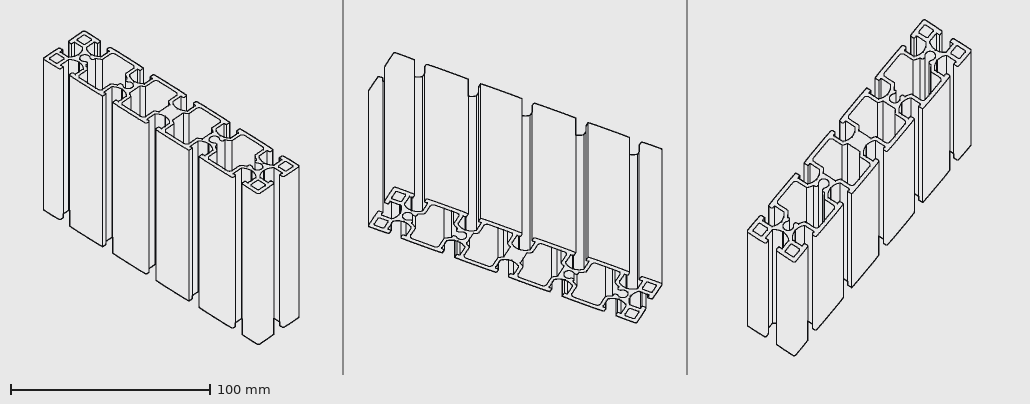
import cadquery as cq

PITCH = 30.0
MODULES = 5
WIDTH = MODULES * PITCH
DEPTH = PITCH
HEIGHT = WIDTH * 2 / 3
OUTER_RADIUS = 1.0

MOUTH_HALF = 3.2
WIDE_MOUTH_HALF = 3.5
TAPER_HALF = 8.2
TAPER_DROP = 0.2
LIP_DEPTH = 2.7
SLOT_HALF = 5.1
FLOOR_DEPTH = 10.6
FLOOR_RISE = 2.1
NOTCH_HALF = 0.3
NOTCH_DEPTH = 0.3
LIP_ROUND = 0.8

SKIN = 2.2
CHAMBER_OFFSET = 7.0
SHOULDER_Y = 5.4
CHAMBER_RADIUS = 1.8
NECK_FACE = 3.9
NECK_FACE_Y = 3.5
FLAT_FACE = 4.6
FLAT_FACE_Y = 3.9
SHOULDER_BULGE = 0.2

CHANNEL_RADIUS = 2.62
NECK_HALF = 1.6
NUB_ROUND = 0.82

POCKET_WALL = 2.2
POCKET_SIZE = 5.5
POCKET_RADIUS = 0.6


def fillet_vertical(body, points, radius):
    """Round the upright edges of body that pass through the given XY points."""
    for x, y in points:
        edge = cq.selectors.NearestToPointSelector((x, y, HEIGHT / 2))
        body = body.edges("|Z").edges(edge).fillet(radius)
    return body


def slot_cutter(mouth_half, rounded_outer=(), rounded_inner=()):
    """T-slot with its mouth on y = 0 and its floor toward -y.

    rounded_outer and rounded_inner list the sides (-1 or +1) whose lip corner is rounded.
    """
    wall_end = -(FLOOR_DEPTH - FLOOR_RISE)
    floor_radius = (SLOT_HALF**2 + FLOOR_RISE**2) / (2 * FLOOR_RISE)
    floor_centre = floor_radius - FLOOR_DEPTH

    def floor_y(x):
        return floor_centre - (floor_radius**2 - x**2) ** 0.5

    notch_bottom = -FLOOR_DEPTH - NOTCH_DEPTH
    middle = (SLOT_HALF + NOTCH_HALF) / 2
    cutter = (
        cq.Workplane("XY")
        .moveTo(-TAPER_HALF, 0)
        .lineTo(-mouth_half, -TAPER_DROP)
        .lineTo(-mouth_half, -LIP_DEPTH)
        .lineTo(-SLOT_HALF, -LIP_DEPTH)
        .lineTo(-SLOT_HALF, wall_end)
        .threePointArc((-middle, floor_y(middle)), (-NOTCH_HALF, floor_y(NOTCH_HALF)))
        .lineTo(0, notch_bottom)
        .lineTo(NOTCH_HALF, floor_y(NOTCH_HALF))
        .threePointArc((middle, floor_y(middle)), (SLOT_HALF, wall_end))
        .lineTo(SLOT_HALF, -LIP_DEPTH)
        .lineTo(mouth_half, -LIP_DEPTH)
        .lineTo(mouth_half, -TAPER_DROP)
        .lineTo(TAPER_HALF, 0)
        .close()
        .extrude(HEIGHT)
    )
    corners = [(side * mouth_half, -TAPER_DROP) for side in rounded_outer]
    corners += [(side * mouth_half, -LIP_DEPTH) for side in rounded_inner]
    return fillet_vertical(cutter, corners, LIP_ROUND)


def chamber_end(slot_x, toward, has_channel):
    """End of a chamber beside the slot at slot_x, reaching toward (-1 or +1) the chamber middle."""
    face, face_y = (NECK_FACE, NECK_FACE_Y) if has_channel else (FLAT_FACE, FLAT_FACE_Y)
    bulge = ((face + CHAMBER_OFFSET) / 2, (face_y + SHOULDER_Y) / 2 - SHOULDER_BULGE)
    end = (
        cq.Workplane("XY")
        .moveTo(face, -face_y)
        .lineTo(face, face_y)
        .threePointArc(bulge, (CHAMBER_OFFSET, SHOULDER_Y))
        .lineTo(PITCH / 2, SHOULDER_Y)
        .lineTo(PITCH / 2, -SHOULDER_Y)
        .lineTo(CHAMBER_OFFSET, -SHOULDER_Y)
        .threePointArc((bulge[0], -bulge[1]), (face, -face_y))
        .close()
        .extrude(HEIGHT)
    )
    if has_channel:
        neck = cq.Workplane("XY").center(face / 2, 0).rect(face, 2 * NECK_HALF).extrude(HEIGHT)
        channel = cq.Workplane("XY").circle(CHANNEL_RADIUS).extrude(HEIGHT)
        end = end.union(neck).union(channel)
        nub_root = (CHANNEL_RADIUS**2 - NECK_HALF**2) ** 0.5
        nub_corners = [(x, y) for x in (nub_root, face) for y in (-NECK_HALF, NECK_HALF)]
        end = fillet_vertical(end, nub_corners, NUB_ROUND)
    if toward < 0:
        end = end.mirror("YZ")
    return end.translate((slot_x, 0, 0))


def chamber_cutter(left_slot_x, left_channel, right_channel):
    """Hollow between the slot at left_slot_x and the next one."""
    right_slot_x = left_slot_x + PITCH
    room = (
        cq.Workplane("XY")
        .rect(PITCH - 2 * CHAMBER_OFFSET, DEPTH - 2 * SKIN)
        .extrude(HEIGHT)
        .edges("|Z")
        .fillet(CHAMBER_RADIUS)
        .translate((left_slot_x + PITCH / 2, 0, 0))
    )
    left_end = chamber_end(left_slot_x, 1, left_channel)
    right_end = chamber_end(right_slot_x, -1, right_channel)
    return room.union(left_end).union(right_end)


profile = cq.Workplane("XY").rect(WIDTH, DEPTH).extrude(HEIGHT).edges("|Z").fillet(OUTER_RADIUS)

outer_slot_x = (WIDTH - PITCH) / 2
both = (-1, 1)
long_slots = [
    (-outer_slot_x, slot_cutter(MOUTH_HALF, both, (1,))),
    (-PITCH, slot_cutter(WIDE_MOUTH_HALF)),
    (0, slot_cutter(MOUTH_HALF, both, both)),
    (PITCH, slot_cutter(WIDE_MOUTH_HALF)),
    (outer_slot_x, slot_cutter(MOUTH_HALF, both, (-1,))),
]
for slot_x, cutter in long_slots:
    back_slot = cutter.translate((slot_x, DEPTH / 2, 0))
    profile = profile.cut(back_slot).cut(back_slot.mirror("XZ"))

end_slot = slot_cutter(MOUTH_HALF, both).rotate((0, 0, 0), (0, 0, 1), -90).translate((WIDTH / 2, 0, 0))
profile = profile.cut(end_slot).cut(end_slot.mirror("YZ"))

outer_chamber = chamber_cutter(-outer_slot_x, True, True)
inner_chamber = chamber_cutter(-PITCH, False, False)
for chamber in (outer_chamber, inner_chamber):
    profile = profile.cut(chamber).cut(chamber.mirror("YZ"))

pocket_x = WIDTH / 2 - POCKET_WALL - POCKET_SIZE / 2
pocket_y = DEPTH / 2 - POCKET_WALL - POCKET_SIZE / 2
pockets = (
    cq.Workplane("XY")
    .rect(2 * pocket_x, 2 * pocket_y, forConstruction=True)
    .vertices()
    .rect(POCKET_SIZE, POCKET_SIZE)
    .extrude(HEIGHT)
    .edges("|Z")
    .fillet(POCKET_RADIUS)
)
result = profile.cut(pockets)